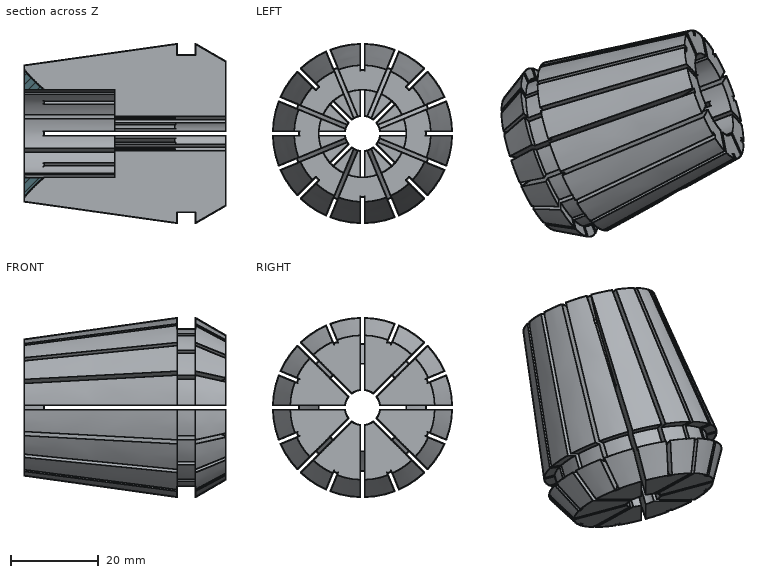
import cadquery as cq
import math

LENGTH = 46.0
MAX_DIAMETER = 41.0
MAX_RADIUS = MAX_DIAMETER / 2

TAPER_ANGLE = 8.0
TAPER_LENGTH = 34.9
GROOVE_WIDTH = 4.15
GROOVE_RADIUS = 18.0
NOSE_ANGLE = 30.0

CLEARANCE_RADIUS = 10.0
CLEARANCE_DEPTH = 20.7
CLAMP_RADIUS = 4.0

SLITS_PER_END = 8
SLIT_WIDTH = 1.0
SLIT_PITCH = 360.0 / SLITS_PER_END

SAW_RADIUS = 41.4
NOSE_SLIT_SAW_OFFSET = 41.4
NOSE_SLIT_EXIT_RADIUS = 14.55
SMALL_END_SLIT_SAW_OFFSET = 38.2
SMALL_END_SLIT_EXIT_RADIUS = 16.05

OVERCUT = 2.3


def make_body():
    """Outer profile revolved about X, with the stepped bore left open."""
    nose_start = TAPER_LENGTH + GROOVE_WIDTH
    nose_length = LENGTH - nose_start
    small_end_radius = MAX_RADIUS - TAPER_LENGTH * math.tan(math.radians(TAPER_ANGLE))
    nose_end_radius = MAX_RADIUS - nose_length * math.tan(math.radians(NOSE_ANGLE))
    profile = [
        (0, CLEARANCE_RADIUS),
        (0, small_end_radius),
        (TAPER_LENGTH, MAX_RADIUS),
        (TAPER_LENGTH, GROOVE_RADIUS),
        (nose_start, GROOVE_RADIUS),
        (nose_start, MAX_RADIUS),
        (LENGTH, nose_end_radius),
        (LENGTH, CLAMP_RADIUS),
        (CLEARANCE_DEPTH, CLAMP_RADIUS),
        (CLEARANCE_DEPTH, CLEARANCE_RADIUS),
    ]
    return cq.Workplane("XY").polyline(profile).close().revolve(360, (0, 0, 0), (1, 0, 0))


def make_slit(saw_offset, exit_radius):
    """Slit cutter on the XY plane, open at X = 0 and ending on the saw's edge.

    saw_offset is the distance of the saw's center from the body axis. The
    saw's edge meets the end face at X = LENGTH at exit_radius.
    """
    def saw_reach(radius):
        return math.sqrt(SAW_RADIUS**2 - (saw_offset - radius) ** 2)

    outer_radius = MAX_RADIUS + OVERCUT
    saw_center = LENGTH - saw_reach(exit_radius)
    middle_radius = outer_radius / 2
    return (
        cq.Workplane("XY")
        .moveTo(-OVERCUT, 0)
        .lineTo(saw_center + saw_reach(0), 0)
        .threePointArc(
            (saw_center + saw_reach(middle_radius), middle_radius),
            (saw_center + saw_reach(outer_radius), outer_radius),
        )
        .lineTo(-OVERCUT, outer_radius)
        .close()
        .extrude(SLIT_WIDTH / 2, both=True)
    )


def cut_slits(body, slit, first_angle):
    """Remove one slit at every pitch around X."""
    for index in range(SLITS_PER_END):
        angle = first_angle + index * SLIT_PITCH
        body = body.cut(slit.rotate((0, 0, 0), (1, 0, 0), angle))
    return body


small_end_slit = make_slit(SMALL_END_SLIT_SAW_OFFSET, SMALL_END_SLIT_EXIT_RADIUS)
nose_slit = make_slit(NOSE_SLIT_SAW_OFFSET, NOSE_SLIT_EXIT_RADIUS)
nose_slit = nose_slit.mirror("YZ").translate((LENGTH, 0, 0))

result = make_body()
result = cut_slits(result, nose_slit, 0)
result = cut_slits(result, small_end_slit, SLIT_PITCH / 2)